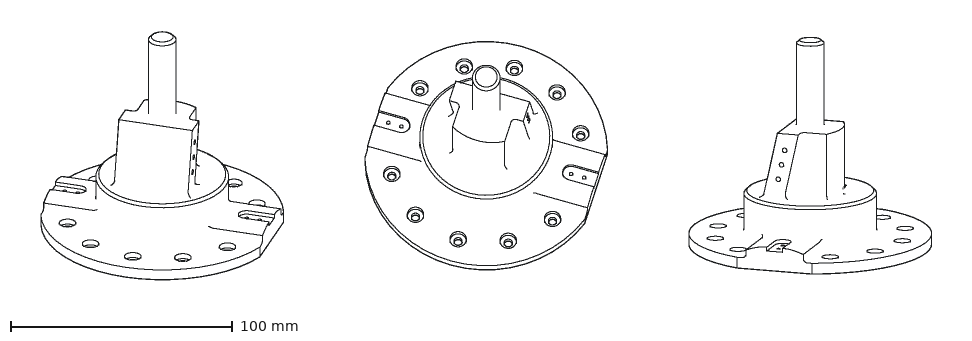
import cadquery as cq
import math

PLATE_DIAMETER = 109.6
PLATE_WIDTH = 103.7
PLATE_THICKNESS = 5.0

BOLT_CIRCLE_RADIUS = 43.7
BOLT_POSITIONS = 12
BOLT_HOLE_DIAMETER = 3.7
COUNTERBORE_DIAMETER = 7.5
COUNTERBORE_DEPTH = PLATE_THICKNESS / 2

DRUM_DIAMETER = 60.0
DRUM_TOP = 25.0
BLOCK_TOP = 55.0
SHAFT_DIAMETER = 12.5
SHAFT_TOP = 95.0

ROOT_FILLET = 2.0
RIM_CHAMFER = 1.3
SHAFT_ROOT_FILLET = 1.0

RIB_HALF_WIDTH = 13.6
RIB_TOP = 10.9
RIB_FLAT_WIDTH = 12.5
RIB_CROWN_RADIUS = 37.5

SLOT_WIDTH = 7.5
SLOT_LENGTH = 15.7
SLOT_DEPTH = 1.8
SLOT_HOLE_DIAMETER = 1.5
SLOT_HOLE_DEPTH = 5.5
SLOT_HOLE_INSETS = (5.7, 11.8)

SLAB_WIDTH = 34.9
SLAB_THICKNESS = 10.0
SLAB_LEAN_ANGLE = 12.5
BODY_WIDTH = 24.6
BODY_BACK_RADIUS = 25.0

SIDE_HOLE_DIAMETER = 2.1
SIDE_HOLE_DEPTH = 5.5
SIDE_HOLE_COUNT = 3
SIDE_HOLE_PITCH = 7.0
TOP_SIDE_HOLE_Y = -6.5
TOP_SIDE_HOLE_Z = 47.4

DRILL_POINT_ANGLE = 118.0
TOLERANCE = 0.01

drum_radius = DRUM_DIAMETER / 2
rib_end = PLATE_WIDTH / 2
lean = math.radians(SLAB_LEAN_ANGLE)


def cylinder(diameter, bottom, top):
    return cq.Workplane("XY").workplane(offset=bottom).circle(diameter / 2).extrude(top - bottom)


def blind_hole(diameter, depth, mouth, direction):
    """Drilled hole with a conical bottom, as a solid to be cut away."""
    radius = diameter / 2
    point = radius / math.tan(math.radians(DRILL_POINT_ANGLE / 2))
    shaft = cq.Solid.makeCylinder(radius, depth, cq.Vector(*mouth), cq.Vector(*direction))
    tip_start = cq.Vector(*mouth) + cq.Vector(*direction) * depth
    tip = cq.Solid.makeCone(radius, 0, point, tip_start, cq.Vector(*direction))
    return cq.Workplane(shaft.fuse(tip))


def make_rib():
    """Crowned bar running the full width of the plate."""
    half_flat = RIB_FLAT_WIDTH / 2
    crown_center_z = RIB_TOP - math.sqrt(RIB_CROWN_RADIUS**2 - half_flat**2)

    def crown_point(y):
        return (y, crown_center_z + math.sqrt(RIB_CROWN_RADIUS**2 - y**2))

    crown_middle = (half_flat + RIB_HALF_WIDTH) / 2
    return (
        cq.Workplane("YZ")
        .workplane(offset=-rib_end)
        .moveTo(-RIB_HALF_WIDTH, 0)
        .lineTo(*crown_point(-RIB_HALF_WIDTH))
        .threePointArc(crown_point(-crown_middle), crown_point(-half_flat))
        .lineTo(half_flat, RIB_TOP)
        .threePointArc(crown_point(crown_middle), crown_point(RIB_HALF_WIDTH))
        .lineTo(RIB_HALF_WIDTH, 0)
        .close()
        .extrude(PLATE_WIDTH)
    )


def make_block():
    """Leaning slab fused to the round-backed body, with blended inner corners."""
    height = BLOCK_TOP - DRUM_TOP
    shift = height * math.tan(lean)
    slab = (
        cq.Workplane("YZ")
        .workplane(offset=-SLAB_WIDTH / 2)
        .polyline([
            (0, BLOCK_TOP),
            (-SLAB_THICKNESS, BLOCK_TOP),
            (-SLAB_THICKNESS - shift, DRUM_TOP),
            (-shift, DRUM_TOP),
        ])
        .close()
        .extrude(SLAB_WIDTH)
    )
    half_body = BODY_WIDTH / 2
    back_corner_y = math.sqrt(BODY_BACK_RADIUS**2 - half_body**2) - SLAB_THICKNESS
    body_front_y = -(SLAB_THICKNESS + shift) / 2
    body = (
        cq.Workplane("XY")
        .workplane(offset=DRUM_TOP)
        .moveTo(-half_body, body_front_y)
        .lineTo(-half_body, back_corner_y)
        .threePointArc((0, BODY_BACK_RADIUS - SLAB_THICKNESS), (half_body, back_corner_y))
        .lineTo(half_body, body_front_y)
        .close()
        .extrude(height)
    )

    def is_inner_corner(edge):
        middle = edge.positionAt(0.5)
        on_body_side = abs(abs(middle.x) - half_body) < TOLERANCE
        on_slab_back = abs(middle.y + (BLOCK_TOP - middle.z) * math.tan(lean)) < TOLERANCE
        return on_body_side and on_slab_back and edge.BoundingBox().zlen > height / 2

    block = slab.union(body)
    corners = [edge for edge in block.edges().vals() if is_inner_corner(edge)]
    return block.newObject(corners).fillet(ROOT_FILLET)


def is_foundation_root(edge):
    """Edges where drum, ribs and plate meet."""
    middle = edge.positionAt(0.5)
    on_drum = abs(math.hypot(middle.x, middle.y) - drum_radius) < TOLERANCE
    on_rib_foot = (
        abs(abs(middle.y) - RIB_HALF_WIDTH) < TOLERANCE
        and abs(middle.z - PLATE_THICKNESS) < TOLERANCE
    )
    return (on_drum and middle.z < DRUM_TOP / 2) or on_rib_foot


def is_block_root(edge):
    """Edges where the block meets the drum top."""
    box = edge.BoundingBox()
    at_drum_top = abs(box.zmin - DRUM_TOP) < TOLERANCE and box.zlen < TOLERANCE
    return at_drum_top and box.xlen <= SLAB_WIDTH + TOLERANCE


def is_shaft_root(edge):
    """Circle where the shaft meets the block top."""
    box = edge.BoundingBox()
    at_block_top = abs(box.zmin - BLOCK_TOP) < TOLERANCE and box.zlen < TOLERANCE
    return at_block_top and edge.geomType() == "CIRCLE" and box.xlen <= SHAFT_DIAMETER + TOLERANCE


def make_bolt_hole():
    """Counterbored through hole centered on the Z axis."""
    counterbore = cylinder(COUNTERBORE_DIAMETER, PLATE_THICKNESS - COUNTERBORE_DEPTH, PLATE_THICKNESS)
    return cylinder(BOLT_HOLE_DIAMETER, 0, PLATE_THICKNESS).union(counterbore)


def make_rib_slot():
    """Slot in the +X rib, open at the outer end, with its pilot holes."""
    floor = RIB_TOP - SLOT_DEPTH
    round_x = rib_end - SLOT_LENGTH + SLOT_WIDTH / 2
    slot = (
        cq.Workplane("XY")
        .box(rib_end - round_x, SLOT_WIDTH, SLOT_DEPTH, centered=(False, True, False))
        .translate((round_x, 0, floor))
        .union(cylinder(SLOT_WIDTH, floor, RIB_TOP).translate((round_x, 0, 0)))
    )
    for inset in SLOT_HOLE_INSETS:
        mouth = (rib_end - inset, 0, floor)
        slot = slot.union(blind_hole(SLOT_HOLE_DIAMETER, SLOT_HOLE_DEPTH, mouth, (0, 0, -1)))
    return slot


def make_side_holes():
    """Leaning row of pilot holes in the +X end of the slab."""
    holes = cq.Workplane("XY")
    for index in range(SIDE_HOLE_COUNT):
        along = index * SIDE_HOLE_PITCH
        hole_y = TOP_SIDE_HOLE_Y - along * math.sin(lean)
        hole_z = TOP_SIDE_HOLE_Z - along * math.cos(lean)
        mouth = (SLAB_WIDTH / 2, hole_y, hole_z)
        holes = holes.add(blind_hole(SIDE_HOLE_DIAMETER, SIDE_HOLE_DEPTH, mouth, (-1, 0, 0)))
    return holes.combine()


plate_outline = cq.Workplane("XY").rect(PLATE_WIDTH, PLATE_DIAMETER).extrude(PLATE_THICKNESS)
plate = cylinder(PLATE_DIAMETER, 0, PLATE_THICKNESS).intersect(plate_outline)
foundation = plate.union(make_rib()).union(cylinder(DRUM_DIAMETER, 0, DRUM_TOP))
roots = [edge for edge in foundation.edges().vals() if is_foundation_root(edge)]
foundation = foundation.newObject(roots).fillet(ROOT_FILLET)
foundation = foundation.faces(">Z").edges().chamfer(RIM_CHAMFER)

result = foundation.union(make_block())
roots = [edge for edge in result.edges().vals() if is_block_root(edge)]
result = result.newObject(roots).fillet(ROOT_FILLET)

shaft = cylinder(SHAFT_DIAMETER, BLOCK_TOP, SHAFT_TOP).faces(">Z").edges().chamfer(RIM_CHAMFER)
result = result.union(shaft)
shaft_root = [edge for edge in result.edges().vals() if is_shaft_root(edge)]
result = result.newObject(shaft_root).fillet(SHAFT_ROOT_FILLET)

bolt_hole = make_bolt_hole()
for position in range(BOLT_POSITIONS):
    on_x_axis = position % (BOLT_POSITIONS // 2) == 0
    if not on_x_axis:
        angle = 2 * math.pi * position / BOLT_POSITIONS
        x = BOLT_CIRCLE_RADIUS * math.cos(angle)
        y = BOLT_CIRCLE_RADIUS * math.sin(angle)
        result = result.cut(bolt_hole.translate((x, y, 0)))

for detail in (make_rib_slot(), make_side_holes()):
    result = result.cut(detail).cut(detail.mirror("YZ"))

result = cq.Workplane(result.solids().val())